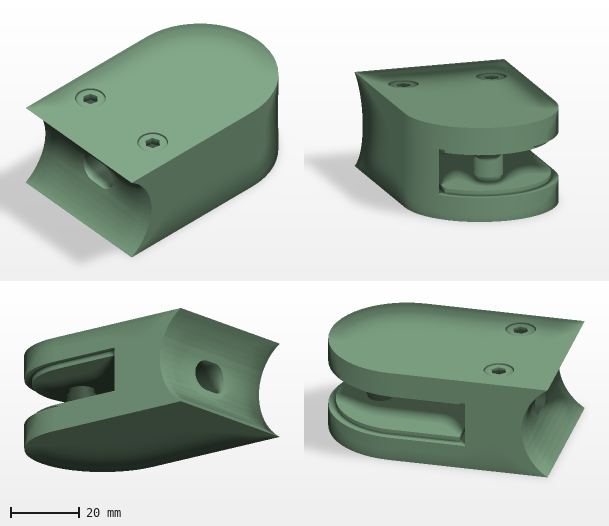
import cadquery as cq
import math

width = 46.0
length = 70.85
height = 28.5
nose_radius = width / 2
back_y = nose_radius - length

saddle_radius = 16.9
saddle_axis_y = back_y - math.sqrt(saddle_radius**2 - (height / 2) ** 2)

slot_height = 13.9
slot_back_y = -23.0
side_wall = 5.5
slot_right_x = width / 2 - side_wall
cover_bottom = slot_height / 2

pad_margin = 2.2
pad_thickness = 1.55
pad_radius = nose_radius - pad_margin
pad_right_x = slot_right_x - pad_margin
pad_back_y = slot_back_y + pad_margin
pad_gap = slot_height - 2 * pad_thickness

pin_y = 7.95
pin_diameter = 8.65
pin_neck_diameter = 7.5
pin_body_length = 7.65

passage_width = 13.1
passage_height = 9.0

screw_spacing = 27.0
screw_y = -30.9
head_diameter = 8.9
head_height = 4.95
head_round = 0.6
head_recess = 0.3
shank_diameter = 5.0
shank_depth_in_base = 9.9
socket_corner_diameter = 4.7
socket_depth = 2.3
left_socket_angle = 18
right_socket_angle = 22
head_top = height / 2 - head_recess
head_bottom = head_top - head_height
shank_bottom = cover_bottom - shank_depth_in_base
screw_places = [
    (-screw_spacing / 2, left_socket_angle),
    (screw_spacing / 2, right_socket_angle),
]


def nose_prism(radius, end_y, bottom, top):
    """Upright prism with a half-round +Y end and a flat -Y end."""
    return (
        cq.Workplane("XY", origin=(0, 0, bottom))
        .moveTo(-radius, end_y)
        .lineTo(-radius, 0)
        .threePointArc((0, radius), (radius, 0))
        .lineTo(radius, end_y)
        .close()
        .extrude(top - bottom)
    )


def upright_cylinder(x, y, diameter, bottom, top):
    return cq.Workplane("XY", origin=(x, y, bottom)).circle(diameter / 2).extrude(top - bottom)


def saddle_cutter():
    return (
        cq.Workplane("YZ")
        .center(saddle_axis_y, 0)
        .circle(saddle_radius)
        .extrude(width / 2, both=True)
    )


def screw_blank(x):
    """Outer envelope of a screw and its counterbored hole, up to the head's top face."""
    head = upright_cylinder(x, screw_y, head_diameter, head_bottom, head_top)
    shank = upright_cylinder(x, screw_y, shank_diameter, shank_bottom, head_bottom)
    return head.union(shank)


def make_base():
    base = nose_prism(nose_radius, back_y, -height / 2, cover_bottom).cut(saddle_cutter())

    slot = cq.Workplane("XY").box(
        slot_right_x + nose_radius, nose_radius - slot_back_y, slot_height, centered=False
    ).translate((-nose_radius, slot_back_y, -slot_height / 2))
    base = base.cut(slot)

    passage = (
        cq.Workplane("XZ", origin=(0, slot_back_y, 0))
        .slot2D(passage_width, passage_height)
        .extrude(slot_back_y - back_y)
    )
    base = base.cut(passage)

    for x, _ in screw_places:
        base = base.cut(screw_blank(x))
    return base


def make_cover():
    cover = nose_prism(nose_radius, back_y, cover_bottom, height / 2).cut(saddle_cutter())
    for x, _ in screw_places:
        counterbore = upright_cylinder(x, screw_y, head_diameter, head_bottom, height / 2)
        cover = cover.cut(screw_blank(x)).cut(counterbore)
    return cover


def make_pad(bottom):
    pad = nose_prism(pad_radius, pad_back_y, bottom, bottom + pad_thickness)
    beside_wall = cq.Workplane("XY").box(
        pad_radius - pad_right_x, pad_radius - pad_back_y, pad_thickness, centered=False
    ).translate((pad_right_x, pad_back_y, bottom))
    return pad.cut(beside_wall)


def make_pin():
    neck = upright_cylinder(0, pin_y, pin_neck_diameter, -pad_gap / 2, pad_gap / 2)
    body = upright_cylinder(0, pin_y, pin_diameter, -pin_body_length / 2, pin_body_length / 2)
    return neck.union(body)


def make_screw(x, socket_angle):
    socket = (
        cq.Workplane("XY")
        .polygon(6, socket_corner_diameter)
        .extrude(-socket_depth)
        .rotate((0, 0, 0), (0, 0, 1), socket_angle)
        .translate((x, screw_y, head_top))
    )
    return screw_blank(x).faces(">Z").edges().fillet(head_round).cut(socket)


base = make_base()
cover = make_cover()
pads = [make_pad(bottom) for bottom in (-slot_height / 2, pad_gap / 2)]
pin = make_pin()
screws = [make_screw(x, angle) for x, angle in screw_places]

result = cq.Compound.makeCompound(
    [
        base.val(),
        cover.val(),
        *[pad.val() for pad in pads],
        pin.val(),
        *[screw.val() for screw in screws],
    ]
)